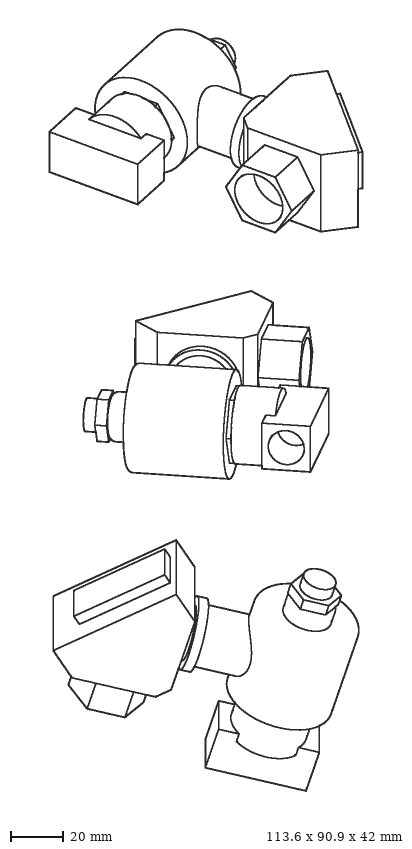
import cadquery as cq
import math


barrel_radius = 21.0
barrel_bottom = -19.1
barrel_top = 20.1
barrel_round = 1.7
boss_radius = 9.7
boss_top = 28.3
boss_round = 2.6
nut_corners = 20.1
nut_top = 32.8
tip_radius = 6.5
tip_top = 38.0
arm_radius = 12.2
flange_radius = 14.5
flange_start = 37.6
flange_end = 41.5
neck_radius = 10.9

hex_corners = 30.0

collar_bottom = -21.0
stem_radius = 15.1
stem_bottom = -37.7
tee_length = 40.1
tee_side = 18.9
tee_bottom = -52.9
tee_offset = -0.1
tee_bore_diameter = 14.0
tee_bore_depth = tee_length / 2

block_half = 20.1
block_height = 36.0
block_left = 44.1
block_center_x = block_left + block_half
block_tip_far = 28.4
block_tip_near = 9.8
block_face_end = 18.1
block_chamfer = 4.9
socket_end = -36.0
socket_bore_radius = 10.9
socket_bore_depth = 13.6
cover_length = 39.9
cover_thickness = 4.3
cover_height = 17.0
cover_shift = 4.4


def cylinder_y(radius, start, end):
    """Cylinder on the valve axis between two Y positions."""
    return cq.Workplane("XZ", origin=(0, start, 0)).circle(radius).extrude(start - end)


def cylinder_x(radius, start, end):
    """Cylinder on the side arm axis between two X positions."""
    return cq.Workplane("YZ", origin=(start, 0, 0)).circle(radius).extrude(end - start)


def hexagon_y(corners, start, end, center_x=0):
    """Hexagonal prism along Y with two corners pointing along X."""
    plane = cq.Workplane("XZ", origin=(center_x, start, 0))
    return plane.polygon(6, corners).extrude(start - end)


def make_valve_body():
    barrel = cylinder_y(barrel_radius, barrel_bottom, barrel_top)
    barrel = barrel.faces(">Y").edges().fillet(barrel_round)
    boss = cylinder_y(boss_radius, barrel_top, boss_top)
    boss = boss.faces(">Y").edges().fillet(boss_round)
    nut = hexagon_y(nut_corners, boss_top, nut_top)
    tip = cylinder_y(tip_radius, nut_top, tip_top)
    arm = cylinder_x(arm_radius, 0, flange_start)
    flange = cylinder_x(flange_radius, flange_start, flange_end)
    neck = cylinder_x(neck_radius, flange_end, block_left)
    return barrel.union(boss).union(nut).union(tip).union(arm).union(flange).union(neck)


def make_tee_fitting():
    collar = hexagon_y(hex_corners, barrel_bottom, collar_bottom)
    stem = cylinder_y(stem_radius, collar_bottom, stem_bottom)
    bar_center_y = tee_bottom + tee_side / 2
    bar = cq.Workplane("XY").box(tee_length, tee_side, tee_side)
    bar = bar.translate((tee_offset, bar_center_y, 0))
    fitting = collar.union(stem).union(bar)
    bore_start = tee_offset - tee_length / 2
    bore = cylinder_x(tee_bore_diameter / 2, bore_start, bore_start + tee_bore_depth)
    return fitting.cut(bore.translate((0, bar_center_y, 0)))


def make_cover():
    """Plate on the diagonal face, shifted along it toward the upper left."""
    face_distance = (block_tip_far - block_tip_near) / math.sqrt(2)
    plate = cq.Workplane("XY").box(cover_length, cover_thickness, cover_height)
    plate = plate.translate((-cover_shift, face_distance + cover_thickness / 2, 0))
    return plate.rotate((0, 0, 0), (0, 0, 1), -45)


def make_corner_block():
    outline = [
        (-block_half, block_face_end),
        (-block_tip_near, block_tip_far),
        (block_tip_far, -block_tip_near),
        (block_face_end, -block_half),
        (block_chamfer - block_half, -block_half),
        (-block_half, block_chamfer - block_half),
    ]
    block = cq.Workplane("XY").polyline(outline).close().extrude(block_height / 2, both=True)
    block = block.union(make_cover()).translate((block_center_x, 0, 0))
    block = block.union(hexagon_y(hex_corners, -block_half, socket_end, block_center_x))
    bore = cylinder_y(socket_bore_radius, socket_end, socket_end + socket_bore_depth)
    return block.cut(bore.translate((block_center_x, 0, 0)))


valve_body = make_valve_body()
tee_fitting = make_tee_fitting()
corner_block = make_corner_block()

result = cq.Compound.makeCompound([valve_body.val(), tee_fitting.val(), corner_block.val()])